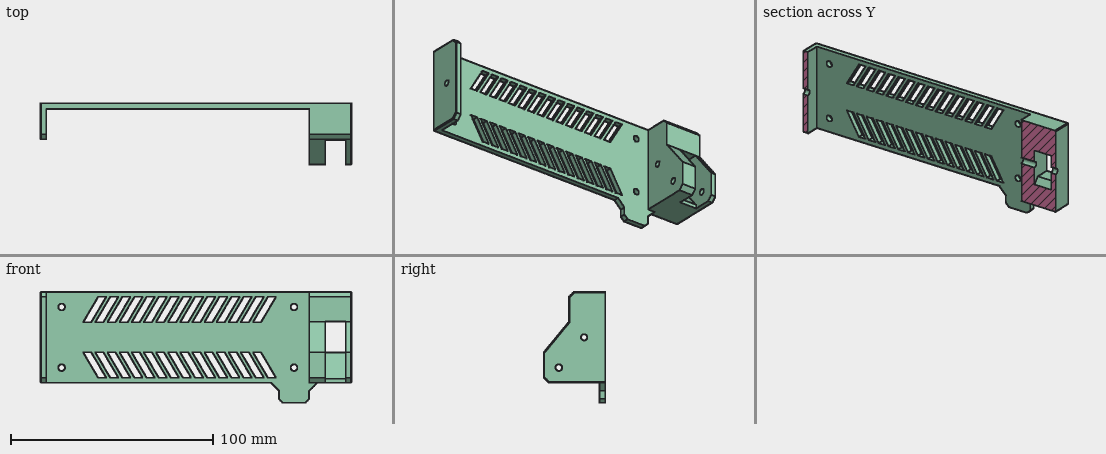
import cadquery as cq
import math

length = 154.0
height = 45.0
wall = 3.0

body_depth = 18.0
block_width = 21.0
block_start = length - block_width
body_chamfer = 2.5
outer_edge_chamfer = 0.4

finger_reach = 30.5
finger_slope_top = 30.2
finger_slope_bottom = 15.0
finger_chamfer = body_chamfer
pocket_width = 10.0
pocket_start = length - wall - pocket_width
lip_height = 2.1
lip_chamfer = 0.8
lip_front = 18.5

finger_slope_run = (finger_reach - body_depth) / (finger_slope_top - finger_slope_bottom)
pocket_floor_end = lip_front - lip_chamfer
pocket_floor_bottom = lip_height + lip_chamfer
pocket_floor_start = pocket_floor_end - (finger_slope_bottom - pocket_floor_bottom) * finger_slope_run

tab_start = 118.0
tab_width = block_start - tab_start
tab_drop = 10.0
tab_flare = 4.0
tab_chamfer = 2.0

vent_count = 15
vent_pitch = 6.0
vent_width = 3.9
vent_start = 21.25
vent_margin = 2.5
vent_height = 12.5
vent_angle = 59.5
vent_slant = vent_height / math.tan(math.radians(vent_angle))

plate_hole_diameter = 3.2
plate_hole_margin = 7.5
plate_hole_spacing = 115.0
plate_hole_mid_x = (wall + block_start) / 2
side_hole_diameter = 3.0
side_hole_depth = (wall + body_depth) / 2
finger_hole_diameter = 3.2
finger_hole_depth = 23.0
finger_hole_height = 7.5


def side_prism(points, x_start, x_end):
    """Extrude a (y, z) outline along X between two stations."""
    return cq.Workplane("YZ", origin=(x_start, 0, 0)).polyline(points).close().extrude(x_end - x_start)


def plate_prism(points):
    """Extrude an (x, z) outline through the plate thickness."""
    return cq.Workplane("XZ").polyline(points).close().extrude(wall)


def cross_hole(diameter, depth, z):
    """Cylinder along X through the whole length at a distance in front of the back face."""
    return cq.Workplane("YZ").center(-depth, z).circle(diameter / 2).extrude(length)


def make_plate():
    return cq.Workplane("XY").box(length, wall, height, centered=False).translate((0, -wall, 0))


def make_flange():
    c = body_chamfer
    points = [
        (0, 0),
        (c - body_depth, 0),
        (-body_depth, c),
        (-body_depth, height - c),
        (c - body_depth, height),
        (0, height),
    ]
    return side_prism(points, 0, wall)


def make_block():
    c = body_chamfer
    points = [
        (0, 0),
        (finger_chamfer - finger_reach, 0),
        (-finger_reach, finger_chamfer),
        (-finger_reach, finger_slope_bottom),
        (-body_depth, finger_slope_top),
        (-body_depth, height - c),
        (c - body_depth, height),
        (0, height),
    ]
    return side_prism(points, block_start, length)


def make_pocket():
    points = [
        (0, finger_slope_bottom),
        (-pocket_floor_start, finger_slope_bottom),
        (-pocket_floor_end, pocket_floor_bottom),
        (-lip_front, lip_height),
        (-lip_front, 0),
        (-finger_reach, 0),
        (-finger_reach, finger_slope_top),
        (0, finger_slope_top),
    ]
    return side_prism(points, pocket_start, pocket_start + pocket_width)


def make_tab():
    end = tab_start + tab_width
    c = tab_chamfer
    points = [
        (tab_start - tab_flare, 0),
        (tab_start, -tab_flare),
        (tab_start, c - tab_drop),
        (tab_start + c, -tab_drop),
        (end - c, -tab_drop),
        (end, c - tab_drop),
        (end, -tab_flare),
        (end + tab_flare, 0),
    ]
    return plate_prism(points)


def make_vent(x, z_inner, z_outer):
    points = [
        (x, z_inner),
        (x + vent_width, z_inner),
        (x + vent_width + vent_slant, z_outer),
        (x + vent_slant, z_outer),
    ]
    return plate_prism(points)


def cut_vents(body):
    """Two rows of vents that mirror each other about the plate's mid height."""
    inner_margin = vent_margin + vent_height
    for i in range(vent_count):
        x = vent_start + i * vent_pitch
        body = body.cut(make_vent(x, inner_margin, vent_margin))
        body = body.cut(make_vent(x, height - inner_margin, height - vent_margin))
    return body


def cut_plate_holes(body):
    """Four mounting holes at the corners of a rectangle."""
    for side in (-1, 1):
        x = plate_hole_mid_x + side * plate_hole_spacing / 2
        for z in (plate_hole_margin, height - plate_hole_margin):
            hole = cq.Workplane("XZ").center(x, z).circle(plate_hole_diameter / 2).extrude(wall)
            body = body.cut(hole)
    return body


def chamfer_end_faces(body):
    """Break the edges of the two outer end faces, leaving their back edges sharp."""
    for face in ("<X", ">X"):
        body = body.faces(face).edges("not >Y").chamfer(outer_edge_chamfer)
    return body


result = make_plate().union(make_flange()).union(make_block())
result = chamfer_end_faces(result)
result = result.cut(make_pocket()).union(make_tab())
result = cut_vents(result)
result = cut_plate_holes(result)

result = result.cut(cross_hole(side_hole_diameter, side_hole_depth, height / 2))
result = result.cut(cross_hole(finger_hole_diameter, finger_hole_depth, finger_hole_height))